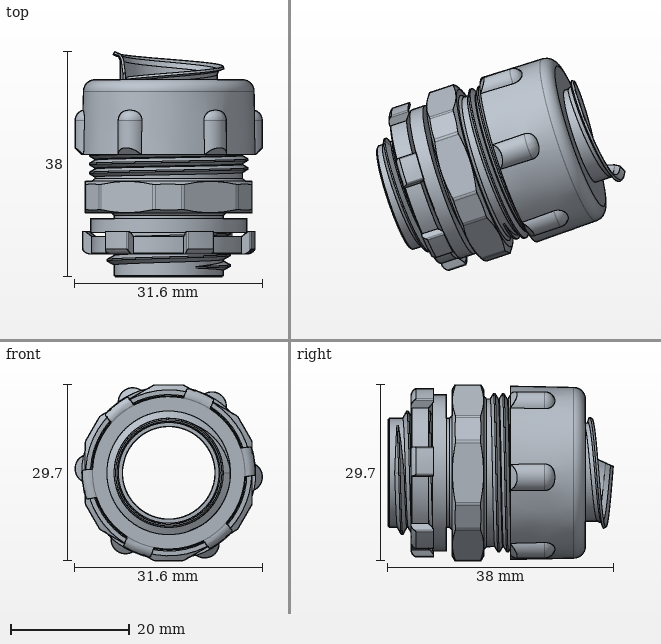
import cadquery as cq
import math


CUT_MARGIN = 1.0

ENTRY_CHAMFER = 0.25
NECK_CONE = 0.44
HEX_START = 10.8
HEX_END = 16.17
CAP_START = 20.64
CAP_END = 33.3

ENTRY_R = 18.43 / 2
THREAD_ROOT_R = 24.96 / 2
BORE_R = 17.0 / 2
INSERT_BORE_R = 15.6 / 2
INSERT_START = 11.4
BORE_CHAMFER = 0.2

HEX_FLATS = 28.17
HEX_CORNERS = 29.68
HEX_EDGE_R = 1.0
HEX_FACE_R = 14.0
HEX_CHAMFER_ANGLE = 30

FADE_ANGLE = 60
ENTRY_CREST_R = 20.86 / 2
ENTRY_PITCH = 1.814
ENTRY_THREAD_WIDTH = 1.6
ENTRY_THREAD_START = 1.92
ENTRY_THREAD_ANGLE = 0
ENTRY_THREAD_TURNS = 3.6
CAP_CREST_R = 26.8 / 2
CAP_PITCH = 1.5
CAP_THREAD_WIDTH = 1.35
CAP_THREAD_START = 17.54
CAP_THREAD_ANGLE = 180
CAP_THREAD_TURNS = 3
ROOT_OVERLAP = 0.3
CREST_FLAT = 0.25

WASHER_R = 26.4 / 2
WASHER_START = 7.5
WASHER_END = 9.85
NUT_START = 3.9
NUT_END = 6.85
NUT_R = 13.0
NUT_CHAMFER = 0.15
TOOTH_COUNT = 6
TOOTH_FIRST_ANGLE = 8
TOOTH_WIDTH = 4.9
TOOTH_R = 14.56
TOOTH_ROOT_R = 11.5
TOOTH_TIP = 7.7
TOOTH_EDGE_R = 0.25
TOOTH_TIP_WALL = 0.45
TOOTH_ROUND_LENGTH = 0.8

CAP_R = 14.64
CAP_SHOULDER_R = 14.42
CAP_ROUND = 2.0
RIB_COUNT = 6
RIB_FIRST_ANGLE = -3
RIB_R = 2.45
RIB_REACH_X = 31.61 / 2
RIB_STRAIGHT_END = 26.4
RIB_DOME_R = 1.8
RIB_CHAMFER = 1.15

LIP_OUTER_R = 16.4 / 2
LIP_RIM_R = 9.36
LIP_WALL = 0.4
LIP_FLARE_LENGTH = 1.4
LIP_FLARE_MID_SHARE = 0.25
LIP_PITCH = 4.7
LIP_START_ANGLE = 140
LIP_END_ANGLE = -200
LIP_END_RIM = 38.18
LIP_DEPTH = 6.0
LIP_TRIM_ROOT_Z = 3.2
LIP_TRIM_TIP_Z = 1.0
LIP_TRIM_ROOT_WIDTH = 1.8
LIP_TRIM_TIP_WIDTH = 3.5


def revolve_profile(points):
    """Solid of revolution about Y from (radius, y) points."""
    return cq.Workplane("XY").polyline(points).close().revolve(360, (0, 0), (0, 1))


def about_axis(solid, angle):
    """Turn a solid from the +X direction to the given angle about the axis."""
    return solid.rotate((0, 0, 0), (0, 1, 0), -angle)


def helix_edge(pitch, turns, radius, height, growth):
    """Right-handed helix along Z from +X whose radius grows steadily by the given amount."""
    rise = pitch * turns
    if growth == 0:
        helix = cq.Wire.makeHelix(pitch, rise, radius, cq.Vector(0, 0, height))
    else:
        cone_angle = math.degrees(math.atan2(growth, rise))
        slope = math.hypot(growth, rise) / rise
        helix = cq.Wire.makeHelix(
            pitch * slope, rise * slope, radius, cq.Vector(0, 0, height), angle=cone_angle
        )
    return helix.Edges()[0]


def helical_ridge(profile, pitch, turns, start_angle, growth=0):
    """Sweep a (radius, y) polygon along a right-handed helix about Y."""
    edges = [helix_edge(pitch, turns, radius, height, growth) for radius, height in profile]
    faces = []
    for index, edge in enumerate(edges):
        faces.append(cq.Face.makeRuledSurface(edges[index - 1], edge))
    turn = 2 * math.pi * turns
    for angle, shift, lift in ((0, 0, 0), (turn, growth, pitch * turns)):
        corners = []
        for radius, height in profile:
            reach = radius + shift
            corners.append(cq.Vector(reach * math.cos(angle), reach * math.sin(angle), height + lift))
        faces.append(cq.Face.makeFromWires(cq.Wire.makePolygon(corners, close=True)))
    solid = cq.Solid.makeSolid(cq.Shell.makeShell(faces))
    solid = cq.Workplane(solid.fix()).rotate((0, 0, 0), (1, 0, 0), -90)
    return about_axis(solid, start_angle)


def thread(root_r, crest_r, pitch, width, start, start_angle, turns):
    """V-shaped thread that rises out of its root over the fade angle."""
    height = crest_r - root_r
    inner_r = root_r - ROOT_OVERLAP
    flank_slope = (width - CREST_FLAT) / 2 / height
    inner_half_width = CREST_FLAT / 2 + flank_slope * (crest_r - inner_r)
    profile = [
        (inner_r, start - inner_half_width),
        (crest_r, start - CREST_FLAT / 2),
        (crest_r, start + CREST_FLAT / 2),
        (inner_r, start + inner_half_width),
    ]
    ridge = helical_ridge(profile, pitch, turns, start_angle)
    fade_turns = FADE_ANGLE / 360
    fade_rise = pitch * fade_turns
    sunk_profile = [(radius - height, y - fade_rise) for radius, y in profile]
    fade = helical_ridge(sunk_profile, pitch, fade_turns, start_angle + FADE_ANGLE, height)
    return ridge, fade


def make_core():
    """Entry spigot, neck and threaded sleeve without its bores."""
    sleeve_cone_end = HEX_END + NECK_CONE
    return revolve_profile([
        (0, 0),
        (ENTRY_R - ENTRY_CHAMFER, 0),
        (ENTRY_R, ENTRY_CHAMFER),
        (ENTRY_R, HEX_START - NECK_CONE),
        (ENTRY_R + NECK_CONE, HEX_START),
        (THREAD_ROOT_R + NECK_CONE, HEX_END),
        (THREAD_ROOT_R, sleeve_cone_end),
        (THREAD_ROOT_R, CAP_END),
        (0, CAP_END),
    ])


def make_hexagon():
    """Hexagon with flattened corners, corners at +Z and -Z, both ends chamfered."""
    length = HEX_END - HEX_START
    across_points = HEX_FLATS / math.cos(math.pi / 6)
    base = cq.Workplane("XZ", origin=(0, HEX_END, 0))
    hexagon = base.polygon(6, across_points).extrude(length)
    hexagon = about_axis(hexagon, 30)
    cutter = base.polygon(6, HEX_CORNERS / math.cos(math.pi / 6)).extrude(length)
    hexagon = hexagon.intersect(cutter).edges("|Y").fillet(HEX_EDGE_R)
    outer_r = across_points / 2
    drop = (outer_r - HEX_FACE_R) * math.tan(math.radians(HEX_CHAMFER_ANGLE))
    envelope = revolve_profile([
        (0, HEX_START),
        (HEX_FACE_R, HEX_START),
        (outer_r, HEX_START + drop),
        (outer_r, HEX_END - drop),
        (HEX_FACE_R, HEX_END),
        (0, HEX_END),
    ])
    return hexagon.intersect(envelope)


def make_washer():
    return revolve_profile([
        (0, WASHER_START),
        (WASHER_R, WASHER_START),
        (WASHER_R, WASHER_END),
        (0, WASHER_END),
    ])


def make_locknut():
    """Locknut ring with claw-shaped teeth."""
    nut = revolve_profile([
        (0, NUT_START),
        (NUT_R - NUT_CHAMFER, NUT_START),
        (NUT_R, NUT_START + NUT_CHAMFER),
        (NUT_R, NUT_END),
        (0, NUT_END),
    ])
    round_start = NUT_R - NUT_CHAMFER
    diagonal = math.sqrt(0.5)
    round_mid = (
        round_start + (TOOTH_R - round_start) * diagonal,
        NUT_START + TOOTH_ROUND_LENGTH * (1 - diagonal),
    )
    claw_ring = (
        cq.Workplane("XY")
        .moveTo(TOOTH_ROOT_R, NUT_START)
        .lineTo(round_start, NUT_START)
        .threePointArc(round_mid, (TOOTH_R, NUT_START + TOOTH_ROUND_LENGTH))
        .lineTo(TOOTH_R, TOOTH_TIP)
        .lineTo(TOOTH_R - TOOTH_TIP_WALL, TOOTH_TIP)
        .lineTo(NUT_R, NUT_END)
        .lineTo(TOOTH_ROOT_R, NUT_END)
        .close()
        .revolve(360, (0, 0), (0, 1))
    )
    tooth_block = cq.Workplane("XY").box(
        TOOTH_R + CUT_MARGIN, TOOTH_TIP, TOOTH_WIDTH, centered=(False, False, True)
    )
    tooth = claw_ring.intersect(tooth_block).edges("|Y").edges(">X").fillet(TOOTH_EDGE_R)
    for index in range(TOOTH_COUNT):
        nut = nut.union(about_axis(tooth, TOOTH_FIRST_ANGLE + index * 360 / TOOTH_COUNT))
    return nut


def make_cap():
    """Tapered cap with a rounded back edge and domed grip ribs."""
    shoulder = CAP_END - CAP_ROUND
    diagonal = CAP_ROUND * math.sqrt(0.5)
    round_centre_r = CAP_SHOULDER_R - CAP_ROUND
    cap = (
        cq.Workplane("XY")
        .moveTo(0, CAP_START)
        .lineTo(CAP_R, CAP_START)
        .lineTo(CAP_SHOULDER_R, shoulder)
        .threePointArc((round_centre_r + diagonal, shoulder + diagonal), (round_centre_r, CAP_END))
        .lineTo(0, CAP_END)
        .close()
        .revolve(360, (0, 0), (0, 1))
    )
    rib_centre_r = (RIB_REACH_X - RIB_R) / math.cos(math.radians(RIB_FIRST_ANGLE))
    rib_reach_r = rib_centre_r + RIB_R
    rib_end = RIB_STRAIGHT_END + RIB_DOME_R
    rib = (
        cq.Workplane("XZ", origin=(rib_centre_r, CAP_START, 0))
        .circle(RIB_R)
        .extrude(CAP_START - rib_end)
        .faces(">Y")
        .edges()
        .fillet(RIB_DOME_R)
    )
    envelope = revolve_profile([
        (0, CAP_START),
        (rib_reach_r - RIB_CHAMFER, CAP_START),
        (rib_reach_r, CAP_START + RIB_CHAMFER),
        (rib_reach_r, rib_end),
        (0, rib_end),
    ])
    rib = rib.intersect(envelope)
    for index in range(RIB_COUNT):
        cap = cap.union(about_axis(rib, RIB_FIRST_ANGLE + index * 360 / RIB_COUNT))
    return cap


def make_lip():
    """Thin sleeve whose flared rim climbs along a helix."""
    turns = (LIP_START_ANGLE - LIP_END_ANGLE) / 360
    rim = LIP_END_RIM - LIP_PITCH * turns
    flare_mid_r = LIP_OUTER_R + LIP_FLARE_MID_SHARE * (LIP_RIM_R - LIP_OUTER_R)
    flare_mid = rim - LIP_FLARE_LENGTH / 2
    profile = [
        (LIP_OUTER_R - LIP_WALL, rim - LIP_DEPTH),
        (LIP_OUTER_R, rim - LIP_DEPTH),
        (LIP_OUTER_R, rim - LIP_FLARE_LENGTH),
        (flare_mid_r, flare_mid),
        (LIP_RIM_R, rim - LIP_WALL),
        (LIP_RIM_R - LIP_WALL / 2, rim),
        (flare_mid_r - LIP_WALL, flare_mid + LIP_WALL / 2),
        (LIP_OUTER_R - LIP_WALL, rim - LIP_FLARE_LENGTH),
    ]
    lip = helical_ridge(profile, LIP_PITCH, turns, LIP_START_ANGLE)
    trim_reach = LIP_RIM_R + CUT_MARGIN
    end_trim = (
        cq.Workplane("YZ", origin=(-trim_reach, 0, 0))
        .polyline([
            (CAP_END, LIP_TRIM_ROOT_Z),
            (LIP_END_RIM, LIP_TRIM_TIP_Z),
            (LIP_END_RIM, LIP_TRIM_TIP_Z + LIP_TRIM_TIP_WIDTH),
            (CAP_END, LIP_TRIM_ROOT_Z + LIP_TRIM_ROOT_WIDTH),
        ])
        .close()
        .extrude(trim_reach)
    )
    return lip.cut(end_trim)


def make_bores():
    """Wide bore from the entry end and the narrower bore of the sealing insert."""
    return revolve_profile([
        (0, 0),
        (BORE_R + BORE_CHAMFER, 0),
        (BORE_R, BORE_CHAMFER),
        (BORE_R, INSERT_START),
        (INSERT_BORE_R, INSERT_START),
        (INSERT_BORE_R, CAP_END),
        (0, CAP_END),
    ])


entry_thread = thread(
    ENTRY_R, ENTRY_CREST_R, ENTRY_PITCH, ENTRY_THREAD_WIDTH,
    ENTRY_THREAD_START, ENTRY_THREAD_ANGLE, ENTRY_THREAD_TURNS,
)
cap_thread = thread(
    THREAD_ROOT_R, CAP_CREST_R, CAP_PITCH, CAP_THREAD_WIDTH,
    CAP_THREAD_START, CAP_THREAD_ANGLE, CAP_THREAD_TURNS,
)

body = make_core()
for ridge in entry_thread + cap_thread:
    body = body.union(ridge)
for piece in (make_hexagon(), make_washer(), make_locknut(), make_cap()):
    body = body.union(piece)
result = body.cut(make_bores()).union(make_lip())